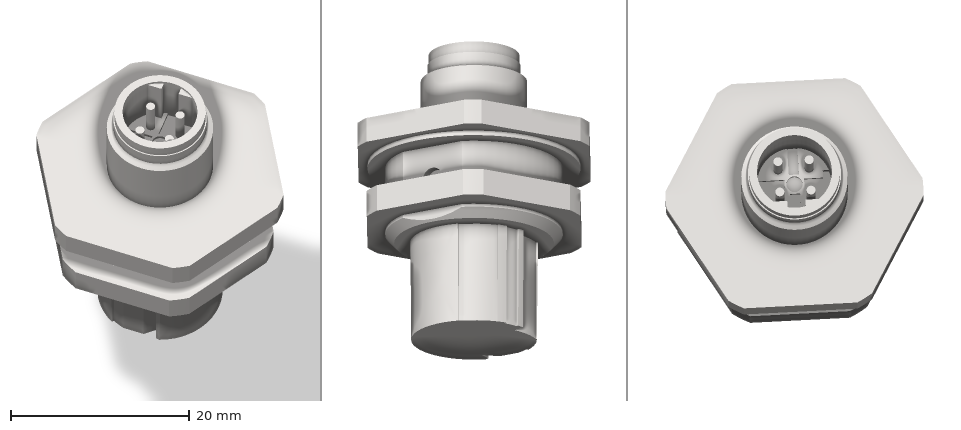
import cadquery as cq
import math


TOTAL_HEIGHT = 33.6
THREAD_BOTTOM = 11.42
NUT_BOTTOM = 12.77
NUT_TOP = 15.8
GASKET_BOTTOM = 20.23
FLANGE_BOTTOM = 20.75
FLANGE_TOP = 23.6
BARREL_TOP = 30.88
RIM_BOTTOM = 32.32

HEX_TURN = 10.0
FLANGE_APOTHEM = 13.0
FLANGE_CORNER_RADIUS = 14.48
NUT_APOTHEM = 12.0
NUT_CORNER_RADIUS = 13.25

THREAD_RADIUS = 9.98
THREAD_CHAMFER = 1.0
FLAT_DISTANCE = 9.2
FLAT_ANGLES = (130.0, 310.0)
FLAT_HOLE_RADIUS = 1.25
FLAT_HOLE_DEPTH = 1.0
FLAT_HOLE_HEIGHT = 16.45
GASKET_RADIUS = 11.95

BARREL_RADIUS = 5.98
NECK_RADIUS = 5.25
BARREL_CHAMFER_HEIGHT = 0.37
RIM_RADIUS = 5.1
BORE_RADIUS = 4.2
BORE_DEPTH = 5.88
BORE_FLOOR = TOTAL_HEIGHT - BORE_DEPTH
INSERT_TURN = 40.5
PIN_COUNT = 4
PIN_PITCH = 360 / PIN_COUNT
PIN_RADIUS = 0.5
PIN_CIRCLE_RADIUS = 2.5
PIN_TOP = 31.6
ARM_WIDTH = 1.15
ARM_DEPTH = 0.35
ARM_START = 1.1
DIMPLE_RADIUS = 0.9
POCKET_START = 3.25
POCKET_WIDTH = 0.85
POCKET_DEPTH = 0.67
KEY_DISTANCE = 3.25
KEY_SLOT_WIDTH = 2.05
KEY_TOP = 33.3

PLUG_TOP_RADIUS = 7.2
PLUG_BOTTOM_RADIUS = 7.05
PLUG_BLANK_RADIUS = 7.4
PLUG_RELIEF_RADIUS = 6.8


def disc(radius, bottom, top):
    return cq.Workplane("XY").workplane(offset=bottom).circle(radius).extrude(top - bottom)


def radial_box(inner, outer, width, bottom, top, angle):
    """Box reaching outward from inner to outer along the given direction."""
    box = cq.Workplane("XY").box(outer - inner, width, top - bottom, centered=(False, True, False))
    return box.translate((inner, 0, bottom)).rotate((0, 0, 0), (0, 0, 1), angle)


def polar(radius, angle):
    a = math.radians(angle)
    return (radius * math.cos(a), radius * math.sin(a))


def turned_hexagon(apothem, corner_radius, bottom, top):
    """Hexagonal plate whose corners are turned down to a cylinder."""
    across_corners = 2 * apothem / math.cos(math.radians(30))
    plate = cq.Workplane("XY").workplane(offset=bottom).polygon(6, across_corners).extrude(top - bottom)
    plate = plate.rotate((0, 0, 0), (0, 0, 1), HEX_TURN + 30)
    return plate.intersect(disc(corner_radius, bottom, top))


def threaded_body():
    body = disc(THREAD_RADIUS, THREAD_BOTTOM, GASKET_BOTTOM)
    body = body.faces("<Z").chamfer(THREAD_CHAMFER)
    for angle in FLAT_ANGLES:
        body = body.cut(radial_box(FLAT_DISTANCE, 2 * THREAD_RADIUS, 2 * THREAD_RADIUS,
                                   THREAD_BOTTOM, GASKET_BOTTOM, angle))
        hole = cq.Workplane("YZ").circle(FLAT_HOLE_RADIUS).extrude(FLAT_HOLE_DEPTH)
        hole = hole.translate((FLAT_DISTANCE - FLAT_HOLE_DEPTH, 0, FLAT_HOLE_HEIGHT))
        body = body.cut(hole.rotate((0, 0, 0), (0, 0, 1), angle))
    return body


def pin_barrel():
    barrel_straight_top = BARREL_TOP - BARREL_CHAMFER_HEIGHT
    profile = [
        (0, FLANGE_TOP),
        (BARREL_RADIUS, FLANGE_TOP),
        (BARREL_RADIUS, barrel_straight_top),
        (NECK_RADIUS, BARREL_TOP),
        (NECK_RADIUS, RIM_BOTTOM),
        (RIM_RADIUS, RIM_BOTTOM),
        (RIM_RADIUS, TOTAL_HEIGHT),
        (0, TOTAL_HEIGHT),
    ]
    barrel = cq.Workplane("XZ").polyline(profile).close().revolve(360, (0, 0, 0), (0, 1, 0))
    return barrel.cut(disc(BORE_RADIUS, BORE_FLOOR, TOTAL_HEIGHT))


def insert_recesses():
    """Four sunk arms around a round dimple, with a deeper pocket beside the end of one arm."""
    arm_floor = BORE_FLOOR - ARM_DEPTH
    pocket_floor = BORE_FLOOR - POCKET_DEPTH
    recesses = disc(DIMPLE_RADIUS, arm_floor, BORE_FLOOR)
    for arm in range(PIN_COUNT):
        angle = INSERT_TURN + arm * PIN_PITCH
        sunk_arm = radial_box(ARM_START, NECK_RADIUS, ARM_WIDTH, arm_floor, BORE_FLOOR, angle)
        recesses = recesses.union(sunk_arm)
    pocket = radial_box(POCKET_START, NECK_RADIUS, POCKET_WIDTH, pocket_floor, BORE_FLOOR, 0)
    pocket = pocket.translate((0, (ARM_WIDTH + POCKET_WIDTH) / 2, 0))
    pocket = pocket.rotate((0, 0, 0), (0, 0, 1), INSERT_TURN + 180)
    return recesses.union(pocket).intersect(disc(BORE_RADIUS, pocket_floor, BORE_FLOOR))


def contact_pins():
    pins = cq.Workplane("XY").workplane(offset=BORE_FLOOR)
    pins = pins.polarArray(PIN_CIRCLE_RADIUS, INSERT_TURN + PIN_PITCH / 2, 360, PIN_COUNT)
    return pins.circle(PIN_RADIUS).extrude(PIN_TOP - BORE_FLOOR)


def coding_key():
    """Segment across one side of the bore, split by a central slot."""
    angle = INSERT_TURN + PIN_PITCH
    key = radial_box(KEY_DISTANCE, NECK_RADIUS, 2 * BORE_RADIUS, BORE_FLOOR, KEY_TOP, angle)
    key = key.intersect(disc(BORE_RADIUS, BORE_FLOOR, KEY_TOP))
    return key.cut(radial_box(KEY_DISTANCE, NECK_RADIUS, KEY_SLOT_WIDTH, BORE_FLOOR, KEY_TOP, angle))


def socket_plug():
    """Plug with lengthwise recesses; the blank is oversize and trimmed to the outer taper."""
    outer = PLUG_BLANK_RADIUS
    relief = PLUG_RELIEF_RADIUS
    outline = (
        cq.Workplane("XY")
        .moveTo(*polar(outer, 115))
        .threePointArc(polar(outer, 130), polar(outer, 145))
        .lineTo(-5.8, 3.83)
        .lineTo(-5.98, 3.4)
        .threePointArc((-6.75, 1.6), (-7.02, -0.3))
        .lineTo(*polar(outer, 182.5))
        .threePointArc(polar(outer, 187), polar(outer, 191.3))
        .lineTo(*polar(relief, 191.5))
        .threePointArc(polar(relief, 198), polar(relief, 205))
        .lineTo(*polar(outer, 205))
        .threePointArc(polar(outer, 208), polar(outer, 211))
        .lineTo(-4.75, -3.2)
        .threePointArc((-3.85, -5.0), (-2.52, -6.52))
        .lineTo(*polar(outer, 249))
        .threePointArc(polar(outer, 265), polar(outer, 280.5))
        .lineTo(*polar(relief, 281))
        .threePointArc(polar(relief, 287), polar(relief, 293.3))
        .lineTo(4.55, -4.67)
        .lineTo(4.8, -2.7)
        .lineTo(5.7, -3.75)
        .lineTo(*polar(outer, 334))
        .threePointArc(polar(outer, 44), polar(outer, 115))
        .close()
    )
    blank = outline.extrude(THREAD_BOTTOM)
    taper = (
        cq.Workplane("XY").circle(PLUG_BOTTOM_RADIUS)
        .workplane(offset=THREAD_BOTTOM).circle(PLUG_TOP_RADIUS).loft()
    )
    return blank.intersect(taper)


result = (
    socket_plug()
    .union(threaded_body())
    .union(turned_hexagon(NUT_APOTHEM, NUT_CORNER_RADIUS, NUT_BOTTOM, NUT_TOP))
    .union(disc(GASKET_RADIUS, GASKET_BOTTOM, FLANGE_BOTTOM))
    .union(turned_hexagon(FLANGE_APOTHEM, FLANGE_CORNER_RADIUS, FLANGE_BOTTOM, FLANGE_TOP))
    .union(pin_barrel())
    .cut(insert_recesses())
    .union(contact_pins())
    .union(coding_key())
)